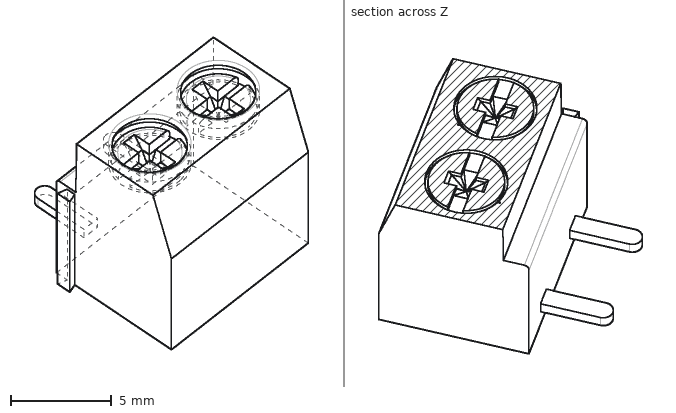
import cadquery as cq

HOUSING_LENGTH = 7.8
HOUSING_WIDTH = 10.0
HOUSING_HEIGHT = 10.2
STEP_HEIGHT = 6.7
STEP_DEPTH = 1.32
STEP_DRAFT = 0.05
STEP_FILLET = 0.25
SLOPE_RUN = 1.25
SLOPE_DROP = 3.67

POLE_PITCH = 5.0
POLE_CENTRES = [HOUSING_WIDTH / 2 + side * POLE_PITCH / 2 for side in (-1, 1)]

PIN_LENGTH = 3.6
PIN_WIDTH = 1.0
PIN_BOTTOM = 0.99
PIN_THICKNESS = 0.6
PIN_ROOT = 0.11

KEY_CENTRE = 0.99
KEY_ROOT_WIDTH = 0.52
KEY_OUTER_WIDTH = 0.84
KEY_DEPTH = 0.54
KEY_HEIGHT = 6.5
KEY_ROOT = 0.06

WELL_X = 4.0
WELL_RADIUS = 2.05
LIP_HEIGHT = 0.62
LIP_ROUND = 0.18
HEAD_RADIUS = 1.92
HEAD_DEPTH = 0.65
HEAD_EDGE_ROUND = 0.32

SLOT_WIDTH = 0.78
SLOT_DEPTH = 0.74
CROSS_TOP_LENGTH = 2.78
CROSS_FLOOR_LENGTH = 1.75
CROSS_TIP_DEPTH = 0.55


def make_housing():
    """Stepped block with a drafted step wall and a sloped wire-side corner."""
    profile = [
        (0, 0),
        (HOUSING_LENGTH, 0),
        (HOUSING_LENGTH, HOUSING_HEIGHT - SLOPE_DROP),
        (HOUSING_LENGTH - SLOPE_RUN, HOUSING_HEIGHT),
        (STEP_DEPTH + STEP_DRAFT, HOUSING_HEIGHT),
        (STEP_DEPTH, STEP_HEIGHT),
        (0, STEP_HEIGHT),
    ]
    block = cq.Workplane("XZ").polyline(profile).close().extrude(-HOUSING_WIDTH)
    step_edge = cq.selectors.NearestToPointSelector((0, HOUSING_WIDTH / 2, STEP_HEIGHT))
    return block.edges(step_edge).fillet(STEP_FILLET)


def make_pin(centre_y):
    """Flat pin with a fully rounded tip, sunk slightly into the housing."""
    half_width = PIN_WIDTH / 2
    shoulder_x = half_width - PIN_LENGTH
    return (
        cq.Workplane("XY", origin=(0, centre_y, PIN_BOTTOM))
        .moveTo(PIN_ROOT, -half_width)
        .lineTo(shoulder_x, -half_width)
        .threePointArc((-PIN_LENGTH, 0), (shoulder_x, half_width))
        .lineTo(PIN_ROOT, half_width)
        .close()
        .extrude(PIN_THICKNESS)
    )


def make_key():
    """Dovetail rib that widens away from the side face."""
    outline = [
        (-KEY_ROOT_WIDTH / 2, KEY_ROOT),
        (-KEY_ROOT_WIDTH / 2, 0),
        (-KEY_OUTER_WIDTH / 2, -KEY_DEPTH),
        (KEY_OUTER_WIDTH / 2, -KEY_DEPTH),
        (KEY_ROOT_WIDTH / 2, 0),
        (KEY_ROOT_WIDTH / 2, KEY_ROOT),
    ]
    plane = cq.Workplane("XY", origin=(KEY_CENTRE, 0, 0))
    return plane.polyline(outline).close().extrude(KEY_HEIGHT)


def make_well():
    """Void around and above a screw head, revolved about Z with the housing top at Z = 0."""
    lip_radius = WELL_RADIUS - LIP_ROUND
    flat_radius = HEAD_RADIUS - HEAD_EDGE_ROUND
    head_edge_z = -HEAD_DEPTH - HEAD_EDGE_ROUND
    gap_floor_z = -HEAD_DEPTH - SLOT_DEPTH
    return (
        cq.Workplane("XZ")
        .lineTo(WELL_RADIUS, 0)
        .radiusArc((lip_radius, -LIP_ROUND), -LIP_ROUND)
        .lineTo(WELL_RADIUS, -LIP_HEIGHT)
        .lineTo(WELL_RADIUS, gap_floor_z)
        .lineTo(HEAD_RADIUS, gap_floor_z)
        .lineTo(HEAD_RADIUS, head_edge_z)
        .radiusArc((flat_radius, -HEAD_DEPTH), -HEAD_EDGE_ROUND)
        .lineTo(0, -HEAD_DEPTH)
        .close()
        .revolve(360, (0, 0, 0), (0, 1, 0))
    )


def make_point_pit(length, width, depth):
    """Pyramid with a rectangular base at Z = 0 and its tip straight below the centre."""
    x, y = length / 2, width / 2
    base = [cq.Vector(*corner, 0) for corner in ((-x, -y), (x, -y), (x, y), (-x, y))]
    tip = cq.Vector(0, 0, -depth)
    faces = [cq.Face.makeFromWires(cq.Wire.makePolygon(base, close=True))]
    for start, end in zip(base, base[1:] + base[:1]):
        faces.append(cq.Face.makeFromWires(cq.Wire.makePolygon([start, end, tip], close=True)))
    return cq.Workplane(cq.Solid.makeSolid(cq.Shell.makeShell(faces)))


def make_cross_recess():
    """Void of the cross recess, with the flat of the screw head at Z = 0."""
    well_column = cq.Workplane("XY").circle(WELL_RADIUS).extrude(-SLOT_DEPTH)
    slot_bar = cq.Workplane("XY").rect(SLOT_WIDTH, 2 * WELL_RADIUS).extrude(-SLOT_DEPTH)
    long_slot = slot_bar.intersect(well_column)
    top_x = CROSS_TOP_LENGTH / 2
    floor_x = CROSS_FLOOR_LENGTH / 2
    tapered_slot = (
        cq.Workplane("XZ")
        .polyline([(-top_x, 0), (top_x, 0), (floor_x, -SLOT_DEPTH), (-floor_x, -SLOT_DEPTH)])
        .close()
        .extrude(SLOT_WIDTH / 2, both=True)
    )
    recess = long_slot.union(tapered_slot)
    for length, width in ((CROSS_FLOOR_LENGTH, SLOT_WIDTH), (SLOT_WIDTH, CROSS_FLOOR_LENGTH)):
        pit = make_point_pit(length, width, CROSS_TIP_DEPTH)
        recess = recess.union(pit.translate((0, 0, -SLOT_DEPTH)))
    return recess


result = make_housing().union(make_key())
well = make_well()
cross_recess = make_cross_recess()
for pole_y in POLE_CENTRES:
    result = result.union(make_pin(pole_y))
    result = result.cut(well.translate((WELL_X, pole_y, HOUSING_HEIGHT)))
    result = result.cut(cross_recess.translate((WELL_X, pole_y, HOUSING_HEIGHT - HEAD_DEPTH)))